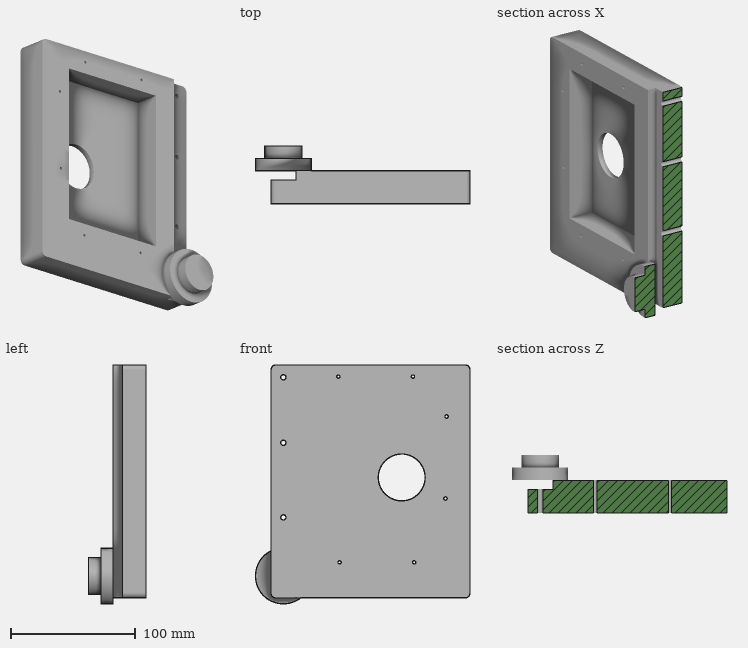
import cadquery as cq

plate_width = 160.0
plate_height = 187.2
plate_depth = 26.7
corner_radius = 4.0

rebate_width = 20.0
rebate_depth = 7.5

front_wall = 5.0
frame_left = 19.2
frame_right = 28.5
frame_top = 19.2
frame_bottom = 38.4

window_diameter = 37.5
window_center = (105.0, 96.8)
edge_hole_diameter = 4.0
edge_hole_x = 10.0
edge_hole_heights = (64.7, 124.6, 177.2)
screw_hole_diameter = 2.5
screw_hole_centers = [
    (54.1, 177.8),
    (114.0, 177.8),
    (141.1, 145.7),
    (140.2, 79.9),
    (55.1, 28.6),
    (115.0, 28.6),
]

total_width = 172.5
total_height = 192.0
total_depth = 46.5
flange_diameter = 45.0
hub_diameter = 30.0
knob_step = 10.0
knob_x = plate_width - total_width + flange_diameter / 2
knob_z = plate_height - total_height + flange_diameter / 2


def box(x_min, x_max, y_min, y_max, z_min, z_max):
    """Box given by its limits along each axis."""
    size = (x_max - x_min, y_max - y_min, z_max - z_min)
    return cq.Workplane("XY").box(*size, centered=False).translate((x_min, y_min, z_min))


def cylinders(centers, diameter, y_start, length):
    """Cylinders along +Y at the given (X, Z) centres."""
    plane = cq.Plane(origin=(0, y_start, 0), xDir=(1, 0, 0), normal=(0, -1, 0))
    return cq.Workplane(plane).pushPoints(centers).circle(diameter / 2).extrude(-length)


def make_plate():
    plate = box(0, plate_width, 0, plate_depth, 0, plate_height)
    plate = plate.edges("|Y").fillet(corner_radius)
    rebate = box(0, rebate_width, plate_depth - rebate_depth, plate_depth, 0, plate_height)
    pocket = box(
        rebate_width + frame_left,
        plate_width - frame_right,
        front_wall,
        plate_depth,
        frame_bottom,
        plate_height - frame_top,
    )
    return plate.cut(rebate).cut(pocket)


def drill_holes(plate):
    edge_hole_centers = [(edge_hole_x, height) for height in edge_hole_heights]
    hole_groups = [
        ([window_center], window_diameter),
        (edge_hole_centers, edge_hole_diameter),
        (screw_hole_centers, screw_hole_diameter),
    ]
    for centers, diameter in hole_groups:
        plate = plate.cut(cylinders(centers, diameter, 0, plate_depth))
    return plate


def make_knob():
    center = [(knob_x, knob_z)]
    flange = cylinders(center, flange_diameter, total_depth - 2 * knob_step, knob_step)
    hub = cylinders(center, hub_diameter, total_depth - knob_step, knob_step)
    return flange.union(hub)


result = drill_holes(make_plate()).union(make_knob())